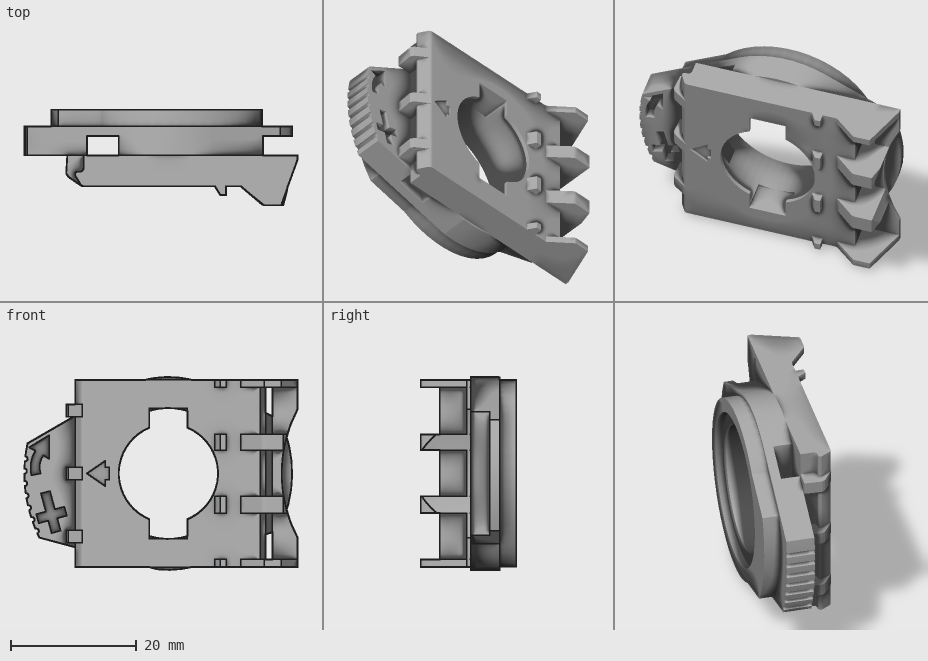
import cadquery as cq
import math

plate_depth = 4.95
finger_depth = 7.95
skin = 0.65
lever_depth = 4.6
collar_back = 7.25
undercut_depth = 3.05

plate_height = 29.8
half_height = plate_height / 2
plate_right = 14.57
ledge_right = 15.5
groove_x = -13.5
lip_y = -2.6
lip_tip = -15.2
lip_foot = -13.8
groove_fillet = 0.6
lip_tip_fillet = 0.45
lip_foot_fillet = 0.8

skin_bore_radius = 7.87
bore_radius = 10.4
key_width = 6.05
collar_recess_radius = 12.6
collar_recess_depth = 1.17

lever_radius = 15.35
lever_rim = 22.92
lever_lower_offset = 15.2
tab_rim = 19.7
tab_undercut_x = 15.05
collar_radius = half_height
collar_rim = 18.65
collar_upper_offset = 14.35
collar_lower_offset = 14.22
flank_upper_angle = 120
flank_lower_angle = 255
tab_upper_angle = 64.5
tab_lower_angle = -73
tab_lower_offset = 13.8
window_left = -12.9
window_right = -7.9
grip_count = 7
grip_pitch = 4.9
grip_first = 174.2
grip_radius = 0.4
mark_depth = 1.75
plus_center = (-18.7, -6.15)
plus_tilt = 15
plus_length = 6.52
plus_span = 4.6
plus_stroke = 1.5
plus_arm_drop = 0.5

wall_thickness = 1.2
ramp_start = 11.53
wall_ramp_end = 15.22
finger_ramp_end = 15.05
wall_tip = 17.92
finger_tip = 18.25
finger_fillet = 1.05
finger_root = 20.2
strip_left = 16.55
strip_right = 20.58
cutout_radius = 21.75
cutout_edge = 18.0
stop_left = 7.4
stop_right = 9.2
stop_ramp = 0.85
stop_depth = 6.35
upper_finger = (3.7, 6.2)
lower_finger = (-6.3, -3.6)
end_walls = [(half_height - wall_thickness, half_height), (-half_height, wall_thickness - half_height)]

hook_height = 2.0
hook_pitch = 10
hook_left = -16.1
hook_flare = 0.17
hook_nose = -13.7
hook_root = -4.35

plate_arrow_depth = 0.45
arrow_tip = -12.95
arrow_shoulder = -10.05
arrow_tail = -9.4
arrow_half_width = 2.0
arrow_half_stem = 1.0


def front_plane(y):
    """Workplane at depth y whose extrusions run towards -Y."""
    return cq.Workplane("XZ", origin=(0, y, 0))


def bar_along_z(points, z_range):
    """Extrude an XY outline between two Z levels."""
    bottom, top = z_range
    return cq.Workplane("XY", origin=(0, 0, bottom)).polyline(points).close().extrude(top - bottom)


def disc(radius, back, depth):
    return front_plane(back).circle(radius).extrude(depth)


def block(x_range, y_range, z_range):
    sizes = [b - a for a, b in (x_range, y_range, z_range)]
    return cq.Workplane("XY", origin=(x_range[0], y_range[0], z_range[0])).box(*sizes, centered=False)


def wing(first_flank, second_flank, rim, back, depth):
    """Disc sector of radius rim between two flanks, each a (normal angle, offset from the axis)."""
    points = []
    for (angle, offset), turn in ((first_flank, 1), (second_flank, -1)):
        a = math.radians(angle)
        foot = (offset * math.cos(a), offset * math.sin(a))
        far = (foot[0] - turn * rim * math.sin(a), foot[1] + turn * rim * math.cos(a))
        points += [foot, far] if turn == 1 else [far, foot]
    sector = front_plane(back).polyline(points).close().extrude(depth)
    return sector.intersect(disc(rim, back, depth))


def make_plate():
    """Plate with a stepped right edge and a groove behind a rounded lip on the left."""
    profile = [
        (groove_x, 0), (groove_x, lip_y), (lip_tip, lip_y), (lip_foot, -plate_depth),
        (plate_right, -plate_depth), (plate_right, -skin), (ledge_right, -skin), (ledge_right, 0),
    ]
    plate = bar_along_z(profile, (-half_height, half_height))
    rounded_corners = (
        (groove_x, lip_y, groove_fillet),
        (lip_tip, lip_y, lip_tip_fillet),
        (lip_foot, -plate_depth, lip_foot_fillet),
    )
    for x, y, radius in rounded_corners:
        plate = plate.edges("|Z").edges(cq.NearestToPointSelector((x, y, 0))).fillet(radius)
    return plate


def make_hooks():
    """Hooks bridging the groove, each with a slightly flared back and a sloping, bevelled nose."""
    profile = [
        (groove_x, 0), (hook_left, 0), (hook_left - hook_flare, -2.85), (-15.9, -3.45),
        (hook_nose, -plate_depth), (groove_x, hook_root),
    ]
    hooks = cq.Workplane("XY")
    for z in (-hook_pitch, 0, hook_pitch):
        hooks = hooks.add(bar_along_z(profile, (z - hook_height / 2, z + hook_height / 2)))
    return hooks.combine()


def make_right_side():
    """Label strip, end walls and fingers, hollowed by a round cutout on the outer edge."""
    wall_profile = [
        (ramp_start, 0), (ramp_start, -plate_depth), (wall_ramp_end, -finger_depth),
        (wall_tip, -finger_depth), (strip_right, -skin), (strip_right, 0),
    ]
    finger_profile = [
        (ramp_start, 0), (ramp_start, -plate_depth), (finger_ramp_end, -finger_depth),
        (finger_tip, -finger_depth), (finger_root, -skin), (finger_root, 0),
    ]
    side = block((strip_left, strip_right), (-skin, 0), (-half_height, half_height))
    for z_range in end_walls:
        side = side.union(bar_along_z(wall_profile, z_range))
    for z_range in (upper_finger, lower_finger):
        finger = bar_along_z(finger_profile, z_range)
        ramp_edge = cq.NearestToPointSelector((finger_ramp_end, -finger_depth, sum(z_range) / 2))
        side = side.union(finger.edges("|Z").edges(ramp_edge).fillet(finger_fillet))
    cutout_center = front_plane(0).center(cutout_edge + cutout_radius, 0)
    return side.cut(cutout_center.circle(cutout_radius).extrude(finger_depth))


def make_stops():
    """Small ramped stops in line with the end walls and fingers."""
    rooted = skin - plate_depth
    profile = [
        (stop_left, rooted), (stop_left, -plate_depth), (stop_left + stop_ramp, -stop_depth),
        (stop_right, -stop_depth), (stop_right, rooted),
    ]
    stops = cq.Workplane("XY")
    for z_range in end_walls + [upper_finger, lower_finger]:
        stops = stops.add(bar_along_z(profile, z_range))
    return stops.combine()


def make_lever():
    """Ring with a gripped handle on the left and a thin tab on the right, flat along the lower flank."""
    flank = front_plane(lever_depth).transformed(rotate=(0, 0, flank_lower_angle))
    beyond_flank = flank.center(lever_lower_offset + lever_radius, 0).rect(2 * lever_radius, lever_radius)
    lever = disc(lever_radius, lever_depth, lever_depth).cut(beyond_flank.extrude(lever_depth))
    handle = wing((flank_upper_angle, lever_radius), (flank_lower_angle, lever_lower_offset),
                  lever_rim, lever_depth, lever_depth)
    tab = wing((tab_lower_angle, tab_lower_offset), (tab_upper_angle, lever_radius),
               tab_rim, lever_depth, lever_depth)
    lever = lever.union(handle).union(tab)
    full_height = (-lever_rim, lever_rim)
    lever = lever.cut(block((window_left, window_right), (0, undercut_depth), full_height))
    lever = lever.cut(block((tab_undercut_x, lever_rim), (0, undercut_depth), full_height))
    return lever.cut(make_grips()).cut(make_plus_mark()).cut(make_turn_arrow())


def make_grips():
    """Round grooves across the handle rim."""
    first = math.radians(grip_first)
    pitch = math.radians(grip_pitch)
    angles = [first + i * pitch for i in range(grip_count)]
    centers = [(lever_rim * math.cos(a), lever_rim * math.sin(a)) for a in angles]
    return front_plane(lever_depth).pushPoints(centers).circle(grip_radius).extrude(lever_depth)


def make_plus_mark():
    """Tilted cross recess in the front of the lever."""
    plane = front_plane(mark_depth).center(*plus_center).transformed(rotate=(0, 0, plus_tilt))
    stem = plane.rect(plus_stroke, plus_length).extrude(mark_depth)
    arm = plane.center(0, -plus_arm_drop).rect(plus_span, plus_stroke).extrude(mark_depth)
    return stem.union(arm)


def make_turn_arrow():
    """Curved arrow recess: a head along the upper flank and a stem bending down beside the rim."""
    return (
        front_plane(mark_depth)
        .moveTo(-22.15, 4.15).lineTo(-18.95, 6.05).lineTo(-18.95, 2.3).lineTo(-19.9, 2.85)
        .threePointArc((-20.45, 1.45), (-20.3, 0)).lineTo(-21.8, -0.3)
        .threePointArc((-21.9, 1.55), (-21.15, 3.6)).close()
        .extrude(mark_depth)
    )


def make_collar():
    depth = collar_back - lever_depth
    collar_wing = wing((flank_upper_angle, collar_upper_offset), (flank_lower_angle, collar_lower_offset),
                       collar_rim, collar_back, depth)
    return disc(collar_radius, collar_back, depth).union(collar_wing)


def make_bore():
    """Wide bore recessed at the back, narrower at the front skin, with key slots through the plate."""
    back_depth = collar_back + plate_depth - skin
    bore = disc(bore_radius, collar_back, back_depth)
    opening = disc(skin_bore_radius, 0, plate_depth)
    key = front_plane(0).rect(key_width, 2 * bore_radius).extrude(plate_depth)
    recess = disc(collar_recess_radius, collar_back, collar_recess_depth)
    return bore.union(opening).union(key).union(recess)


def make_plate_arrow():
    upper_half = [
        (arrow_shoulder, arrow_half_width),
        (arrow_shoulder, arrow_half_stem),
        (arrow_tail, arrow_half_stem),
    ]
    lower_half = [(x, -z) for x, z in reversed(upper_half)]
    outline = [(arrow_tip, 0)] + upper_half + lower_half
    return front_plane(plate_arrow_depth - plate_depth).polyline(outline).close().extrude(plate_arrow_depth)


result = make_plate()
for feature in (make_hooks(), make_right_side(), make_stops(), make_lever(), make_collar()):
    result = result.union(feature)
result = result.cut(make_bore()).cut(make_plate_arrow())